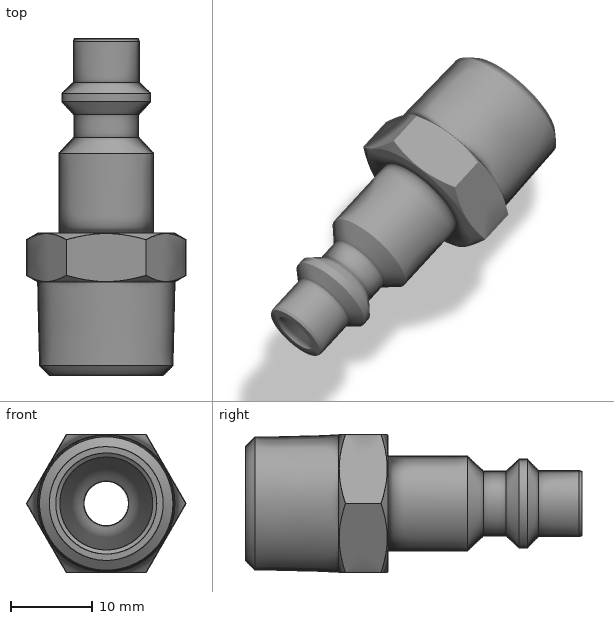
import cadquery as cq
import math

LENGTH = 41.5

HEX_FLATS = 17.0
HEX_START = 11.5
HEX_END = 17.55
HEX_FACE_RADIUS = 8.4
HEX_CHAMFER_ANGLE = 30.0

PIPE_ROOT_RADIUS = 8.45
PIPE_END_RADIUS = 8.2
PIPE_CHAMFER = 1.2

BODY_RADIUS = 5.85
BODY_END = 27.35
GROOVE_RADIUS = 4.0
GROOVE_START = 29.35
GROOVE_END = 32.12
COLLAR_RADIUS = 5.48
COLLAR_START = 33.75
COLLAR_END = 34.75
TIP_RADIUS = 4.05
TIP_START = 36.1
TIP_CHAMFER_WIDTH = 0.12
TIP_CHAMFER_LENGTH = 0.37

PASSAGE_RADIUS = 2.75
BORE_RADIUS = 5.73
BORE_DEPTH = HEX_START
BORE_CONE_ANGLE = 118.0
MOUTH_RADIUS = 6.22
MOUTH_DEPTH = MOUTH_RADIUS - BORE_RADIUS


def revolve_profile(points):
    """Revolve a closed (radius, position) outline about the Y axis."""
    outline = cq.Workplane("XY").polyline(points).close()
    return outline.revolve(360, (0, 0, 0), (0, 1, 0))


def make_turned_body():
    return revolve_profile([
        (0, 0),
        (PIPE_END_RADIUS - PIPE_CHAMFER, 0),
        (PIPE_END_RADIUS, PIPE_CHAMFER),
        (PIPE_ROOT_RADIUS, HEX_START),
        (BODY_RADIUS, HEX_START),
        (BODY_RADIUS, BODY_END),
        (GROOVE_RADIUS, GROOVE_START),
        (GROOVE_RADIUS, GROOVE_END),
        (COLLAR_RADIUS, COLLAR_START),
        (COLLAR_RADIUS, COLLAR_END),
        (TIP_RADIUS, TIP_START),
        (TIP_RADIUS, LENGTH - TIP_CHAMFER_LENGTH),
        (TIP_RADIUS - TIP_CHAMFER_WIDTH, LENGTH),
        (0, LENGTH),
    ])


def make_hex():
    """Hexagonal prism with its corners turned down at both ends."""
    corner_radius = HEX_FLATS / math.sqrt(3)
    corner_drop = (corner_radius - HEX_FACE_RADIUS) * math.tan(math.radians(HEX_CHAMFER_ANGLE))
    prism = (
        cq.Workplane("XZ", origin=(0, HEX_START, 0))
        .polygon(6, 2 * corner_radius)
        .extrude(HEX_START - HEX_END)
    )
    envelope = revolve_profile([
        (0, HEX_START),
        (HEX_FACE_RADIUS, HEX_START),
        (corner_radius, HEX_START + corner_drop),
        (corner_radius, HEX_END - corner_drop),
        (HEX_FACE_RADIUS, HEX_END),
        (0, HEX_END),
    ])
    return prism.intersect(envelope)


def make_passage():
    """Chamfered bore narrowing through a cone to the through hole."""
    cone_length = (BORE_RADIUS - PASSAGE_RADIUS) / math.tan(math.radians(BORE_CONE_ANGLE / 2))
    return revolve_profile([
        (0, 0),
        (MOUTH_RADIUS, 0),
        (BORE_RADIUS, MOUTH_DEPTH),
        (BORE_RADIUS, BORE_DEPTH),
        (PASSAGE_RADIUS, BORE_DEPTH + cone_length),
        (PASSAGE_RADIUS, LENGTH),
        (0, LENGTH),
    ])


result = make_turned_body().union(make_hex()).cut(make_passage())